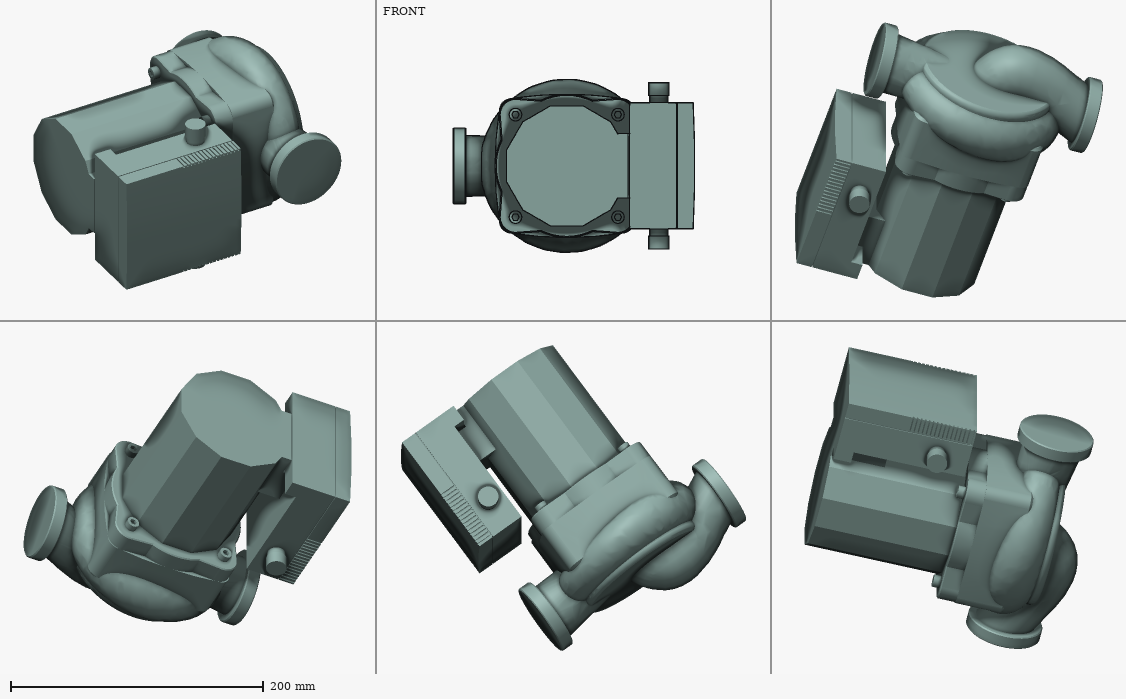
import cadquery as cq
import math


BODY_BULGE = 56.7
BODY_CORNER = 52.0
BODY_CORNER_RADIUS = 9.7
BODY_BACK = -9.7
BODY_BACK_CHAMFER = 2.0
LID_BACK = 16.5
LID_FLAT_RADIUS = 53.5
LID_ROUND_START = 11.5

VOLUTE_OUTER_DIAMETER = 137.5
VOLUTE_BACK = 11.7
VOLUTE_TUBE_MEAN = 19.3
VOLUTE_TUBE_SWING = 4.0
VOLUTE_THINNEST_ANGLE = 20
VOLUTE_HALF_STEPS = 6

PORT_RADIUS = 30.0
PORT_THICKNESS = 10.6
PORT_CHAMFER = 0.9
PORT_RIGHT_FACE = 90.3
PORT_LEFT_FACE = -PORT_RIGHT_FACE
PIPE_RADIUS = 24.3
ELBOW_RADIUS = 23.4
INLET_RISE_START = (-73.6, 3.2)
ELBOW_STATIONS = [
    (-52.0, 12.3, 25),
    (-30.3, 20.5, 0),
    (-10.0, 10.5, -52),
    (0, -4.3, -60),
]
OUTLET_INNER_RADIUS = 21.2
OUTLET_INNER_CENTRE = (33.8, -4.5)

FLANGE_BACK = -48.3
FLANGE_FRONT = -63.2
FLANGE_CHAMFER = 0.9
FLANGE_ARC_DIAMETER = 95.5
FLANGE_ARC_HALF_WIDTH = 20.5
LOBE_END = 38.3
LOBE_RADIUS = 13.0
CAN_FRONT = -172.4
CAN_ACROSS_FLATS = 95.3
CAN_SIDES = 12
BRACKET_BACK = -128.5
BRACKET_HALF_HEIGHT = 25.5
BRACKET_ROOT = 34.6
FOOT_GAP = 1.0

SCREW_SPACING = 81.2
SCREW_HEAD_DIAMETER = 10.0
SCREW_HEAD_HEIGHT = 5.8
SOCKET_ACROSS_CORNERS = 5.8
SOCKET_DEPTH = 3.2

BOX_LEFT = 59.1
BOX_RIGHT = 86.8
BOX_BACK = -68.0
BOX_HEIGHT = 100.0
FOOT_LEFT = 49.8
FOOT_BACK = -158.3
SEAM_WIDTH = 0.9
SEAM_DEPTH = 0.9
GLAND_X = 73.0
GLAND_Y = -93.8
GLAND_NECK_DIAMETER = 14.7
GLAND_CAP_DIAMETER = 16.2
GLAND_CAP_START = 55.7
GLAND_END = 66.0
COVER_EDGE = 100.3
COVER_CROWN = 101.5
SLOT_COUNT = 16
SLOT_ROW_LENGTH = 49.4
SLOT_WIDTH = 1.0
SLOT_DEPTH = 1.7
FIRST_SLOT = 2.2


def cross_section(y):
    """Sketch plane across the motor axis; extruding from it goes toward -Y."""
    return cq.Workplane("XZ", origin=(0, y, 0))


def disc_along_x(radius, start, length):
    return cq.Workplane("YZ", origin=(start, 0, 0)).circle(radius).extrude(length)


def round_section(centre, normal, x_direction, radius):
    plane = cq.Plane(origin=centre, xDir=x_direction, normal=normal)
    return cq.Workplane(plane).circle(radius).wires().val()


def quarter_turn(point, quarters):
    """Rotate a 2D point clockwise by a number of right angles."""
    x, z = point
    for _ in range(quarters):
        x, z = z, -x
    return x, z


def make_body():
    """Square prism with bulged sides and rounded corners, chamfered around its back."""
    corner = BODY_CORNER
    outline = cross_section(BODY_BACK).moveTo(-corner, corner)
    for quarter in range(4):
        outline = outline.threePointArc(
            quarter_turn((0, BODY_BULGE), quarter), quarter_turn((corner, corner), quarter)
        )
    body = outline.close().extrude(BODY_BACK - FLANGE_BACK)
    body = body.edges("|Y").fillet(BODY_CORNER_RADIUS)
    return body.faces(">Y").edges().chamfer(BODY_BACK_CHAMFER)


def make_flange():
    """Plate with a bulge in the middle of each side and a round lobe around each screw."""
    lobe = SCREW_SPACING / 2
    lobe_tip = lobe + LOBE_RADIUS * math.sqrt(0.5)
    lobe_end_offset = lobe - LOBE_END
    lobe_end = (LOBE_END, lobe + math.sqrt(LOBE_RADIUS**2 - lobe_end_offset**2))
    arc_radius = FLANGE_ARC_DIAMETER / 2
    arc_centre = BODY_BULGE - arc_radius
    arc_height = arc_centre + math.sqrt(arc_radius**2 - FLANGE_ARC_HALF_WIDTH**2)
    lobe_start = (-lobe_end[0], lobe_end[1])
    outline = cross_section(FLANGE_BACK).moveTo(*lobe_start)
    for quarter in range(4):
        outline = (
            outline.lineTo(*quarter_turn((-FLANGE_ARC_HALF_WIDTH, arc_height), quarter))
            .threePointArc(
                quarter_turn((0, BODY_BULGE), quarter),
                quarter_turn((FLANGE_ARC_HALF_WIDTH, arc_height), quarter),
            )
            .lineTo(*quarter_turn(lobe_end, quarter))
            .threePointArc(
                quarter_turn((lobe_tip, lobe_tip), quarter), quarter_turn(lobe_start, quarter + 1)
            )
        )
    flange = outline.close().extrude(FLANGE_BACK - FLANGE_FRONT)
    return flange.faces("<Y").edges().chamfer(FLANGE_CHAMFER)


def make_lid():
    """Round lid that closes the middle of the volute, with a rounded rim."""
    profile = (
        cq.Workplane("XY")
        .moveTo(0, BODY_BACK)
        .lineTo(BODY_BULGE, BODY_BACK)
        .lineTo(BODY_BULGE, LID_ROUND_START)
        .tangentArcPoint((LID_FLAT_RADIUS, LID_BACK), relative=False)
        .lineTo(0, LID_BACK)
        .close()
    )
    return profile.revolve(360, (0, 0, 0), (0, 1, 0))


def volute_section(angle):
    """Tube section at an angle in degrees from the thinnest place of the volute."""
    radius = VOLUTE_TUBE_MEAN - VOLUTE_TUBE_SWING * math.cos(math.radians(angle))
    ring_radius = VOLUTE_OUTER_DIAMETER / 2 - radius
    around = math.radians(angle + VOLUTE_THINNEST_ANGLE)
    centre = (ring_radius * math.cos(around), VOLUTE_BACK - radius, ring_radius * math.sin(around))
    tangent = (-math.sin(around), 0, math.cos(around))
    return round_section(centre, tangent, (0, 1, 0), radius)


def make_volute():
    step = 180 / VOLUTE_HALF_STEPS
    halves = []
    for start in (0, 180):
        sections = [volute_section(start + step * i) for i in range(VOLUTE_HALF_STEPS + 1)]
        halves.append(cq.Workplane(cq.Solid.makeLoft(sections)))
    return halves[0].union(halves[1])


def make_port(face, direction):
    """Closed port disc with its outer face at X = face, reaching inward along direction."""
    return disc_along_x(PORT_RADIUS, face, direction * PORT_THICKNESS).edges().chamfer(PORT_CHAMFER)


def pipe_section(x, y, slope, radius):
    """Round pipe section where the centre line, in the XY plane, climbs at slope degrees."""
    across = math.cos(math.radians(slope))
    climb = math.sin(math.radians(slope))
    return round_section((x, y, 0), (across, climb, 0), (climb, -across, 0), radius)


def make_inlet():
    """S-shaped pipe that rises behind the lid and dives into its middle."""
    sections = [
        pipe_section(PORT_LEFT_FACE + PORT_THICKNESS, 0, 0, PIPE_RADIUS),
        pipe_section(*INLET_RISE_START, 0, PIPE_RADIUS),
    ]
    sections += [pipe_section(x, y, slope, ELBOW_RADIUS) for x, y, slope in ELBOW_STATIONS]
    pipe = cq.Workplane(cq.Solid.makeLoft(sections))
    return pipe.union(make_port(PORT_LEFT_FACE, 1))


def make_outlet():
    """Straight pipe that widens toward its port."""
    sections = [
        pipe_section(*OUTLET_INNER_CENTRE, 0, OUTLET_INNER_RADIUS),
        pipe_section(PORT_RIGHT_FACE - PORT_THICKNESS, 0, 0, PIPE_RADIUS),
    ]
    pipe = cq.Workplane(cq.Solid.makeLoft(sections, True))
    return pipe.union(make_port(PORT_RIGHT_FACE, -1))


def make_housing():
    return make_body().union(make_volute()).union(make_lid()).union(make_outlet()).union(make_inlet())


def make_bracket():
    step = FOOT_BACK + FOOT_GAP
    tip = FOOT_LEFT - FOOT_GAP
    profile = [
        (BRACKET_ROOT, BRACKET_BACK),
        (BOX_LEFT, BRACKET_BACK),
        (BOX_LEFT, step),
        (tip, step),
        (tip, CAN_FRONT),
        (BRACKET_ROOT, CAN_FRONT),
    ]
    return cq.Workplane("XY").polyline(profile).close().extrude(BRACKET_HALF_HEIGHT, both=True)


def make_motor():
    half_side = 180 / CAN_SIDES
    across_corners = CAN_ACROSS_FLATS / math.cos(math.radians(half_side))
    can = cross_section(FLANGE_FRONT).transformed(rotate=(0, 0, half_side))
    can = can.polygon(CAN_SIDES, across_corners).extrude(FLANGE_FRONT - CAN_FRONT)
    return make_flange().union(can).union(make_bracket())


def make_screw(x, z):
    """Socket head standing on the flange."""
    head = cq.Workplane("XZ", origin=(x, FLANGE_FRONT, z)).circle(SCREW_HEAD_DIAMETER / 2)
    head = head.extrude(SCREW_HEAD_HEIGHT)
    return head.faces("<Y").workplane().polygon(6, SOCKET_ACROSS_CORNERS).cutBlind(-SOCKET_DEPTH)


def make_gland(direction):
    """Stepped cable gland on the upper (direction 1) or lower (-1) side of the box."""
    root = BOX_HEIGHT / 2 * direction
    cap_start = GLAND_CAP_START * direction
    plane = cq.Workplane("XY", origin=(GLAND_X, GLAND_Y, 0))
    neck = plane.workplane(offset=root).circle(GLAND_NECK_DIAMETER / 2).extrude(cap_start - root)
    cap = plane.workplane(offset=cap_start).circle(GLAND_CAP_DIAMETER / 2)
    return neck.union(cap.extrude(GLAND_END * direction - cap_start))


def make_control_box():
    profile = [
        (BOX_LEFT, BOX_BACK),
        (BOX_RIGHT, BOX_BACK),
        (BOX_RIGHT, CAN_FRONT),
        (FOOT_LEFT, CAN_FRONT),
        (FOOT_LEFT, FOOT_BACK),
        (BOX_LEFT, FOOT_BACK),
    ]
    box = cq.Workplane("XY").polyline(profile).close().extrude(BOX_HEIGHT / 2, both=True)
    seam = cq.Workplane("YZ", origin=(BOX_RIGHT, (BOX_BACK + CAN_FRONT) / 2, 0))
    seam = seam.rect(BOX_BACK - CAN_FRONT - 2 * SEAM_DEPTH, BOX_HEIGHT - 2 * SEAM_DEPTH)
    box = box.union(seam.extrude(SEAM_WIDTH))
    return box.union(make_gland(1)).union(make_gland(-1))


def make_cover():
    """Cover with a crowned face and a row of cooling slots along its upper and lower sides."""
    left = BOX_RIGHT + SEAM_WIDTH
    top = BOX_HEIGHT / 2
    cover = (
        cross_section(BOX_BACK)
        .moveTo(left, -top)
        .lineTo(left, top)
        .lineTo(COVER_EDGE, top)
        .threePointArc((COVER_CROWN, 0), (COVER_EDGE, -top))
        .close()
        .extrude(BOX_BACK - CAN_FRONT)
    )
    pitch = SLOT_ROW_LENGTH / (SLOT_COUNT - 1)
    middle_x = (left + COVER_CROWN) / 2
    for i in range(SLOT_COUNT):
        y = BOX_BACK - FIRST_SLOT - pitch * i
        for z in (top, -top):
            slot = cq.Workplane("XY").box(COVER_CROWN - left, SLOT_WIDTH, 2 * SLOT_DEPTH)
            cover = cover.cut(slot.translate((middle_x, y, z)))
    return cover


housing = make_housing()
motor = make_motor()
half_spacing = SCREW_SPACING / 2
screws = [
    make_screw(x, z) for x in (-half_spacing, half_spacing) for z in (-half_spacing, half_spacing)
]
control_box = make_control_box()
cover = make_cover()

result = cq.Compound.makeCompound(
    [
        housing.val(),
        motor.val(),
        *[screw.val() for screw in screws],
        control_box.val(),
        cover.val(),
    ]
)